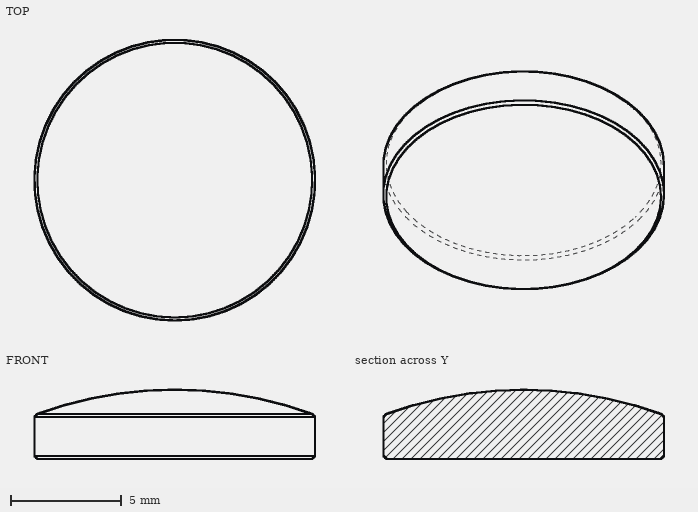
import cadquery as cq
import math

diameter = 12.7
centre_thickness = 3.14
dome_radius = 18.1
bevel = 0.14

outer_radius = diameter / 2
face_radius = outer_radius - bevel
sphere_centre_z = centre_thickness - dome_radius


def dome_z(radius):
    """Height of the spherical face at a distance from the lens axis."""
    return sphere_centre_z + math.sqrt(dome_radius**2 - radius**2)


dome_rim_z = dome_z(face_radius)
arc_mid_radius = face_radius / 2

half_section = (
    cq.Workplane("YZ")
    .lineTo(-face_radius, 0)
    .lineTo(-outer_radius, bevel)
    .lineTo(-outer_radius, dome_rim_z - bevel)
    .lineTo(-face_radius, dome_rim_z)
    .threePointArc((-arc_mid_radius, dome_z(arc_mid_radius)), (0, centre_thickness))
    .close()
)

result = half_section.revolve(360, (0, 0, 0), (0, 1, 0))